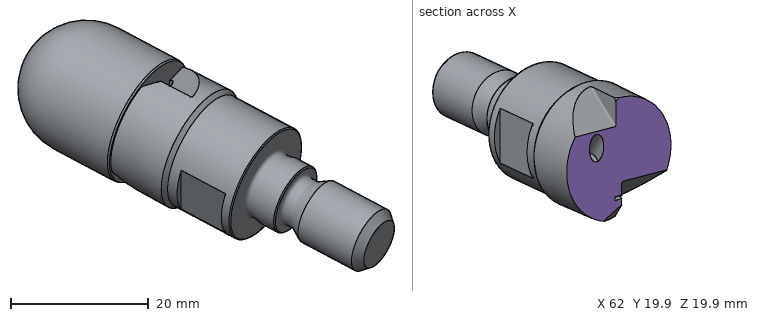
import cadquery as cq
import math

overall_length = 62.0
head_diameter = 19.9
nose_radius = head_diameter / 2
nose_flat_radius = 0.45
head_taper_start = 19.9
head_taper_end = 20.7
head_length = 21.0
head_taper_radius = 9.9
head_end_radius = 9.8

body_front_radius = 9.5
body_rear_radius = 9.6
body_taper_end = 30.1
step_end = 30.8

collar_radius = 9.05
collar_end = 41.9
collar_chamfer = 0.2

relief_radius = 5.15
relief_fillet = 0.55
relief_end = 43.2
relief_cone_angle = 15.0
pilot_radius = 5.4
pilot_end = 47.25
pilot_chamfer = 0.2

neck_radius = 3.85
neck_fillet = 0.55
neck_end = 48.9
neck_cone_angle = 30.0
cone_fillet = 0.6
shank_radius = 5.0
shank_chamfer_length = 1.35
shank_end_radius = 3.85

flat_start = 32.5
flat_end = 40.35
flat_distance = 8.0

wall_offset = 0.55
pocket_fillet = 0.25
relief_slope = 1.36
upper_floor_slope = 0.74
upper_floor_end = 28.4
upper_relief_end = 22.8
upper_relief_skew = 0.66
upper_relief_width = 2.8
lower_floor_slope = 0.81
lower_floor_end = 29.7
lower_relief_end = 24.1
lower_relief_skew = 0.4
lower_relief_width = 3.85

floor_hole_x = 21.15
floor_hole_y = 4.0
floor_hole_radius = 1.25
floor_hole_depth = 4.95

wall_hole_x = 22.4
wall_hole_z = 6.0
wall_hole_radius = 0.25
wall_hole_depth = 1.25


def make_head():
    """Ball nose with a tiny flat tip, running into a cylinder that narrows at its back edge."""
    nose_center = math.sqrt(nose_radius**2 - nose_flat_radius**2)
    arc_offset = nose_radius * math.sqrt(0.5)
    return (
        cq.Workplane("XZ")
        .moveTo(0, 0)
        .lineTo(0, nose_flat_radius)
        .threePointArc((nose_center - arc_offset, arc_offset), (nose_center, nose_radius))
        .lineTo(head_taper_start, nose_radius)
        .lineTo(head_taper_end, head_taper_radius)
        .lineTo(head_length, head_end_radius)
        .lineTo(head_length, 0)
        .close()
        .revolve(360, (0, 0, 0), (1, 0, 0))
    )


def add_cone(outline, start_x, start_radius, end_radius, angle):
    """Continue an outline with a small fillet and a cone that widens to end_radius."""
    tilt = math.radians(angle)
    fillet_x = start_x + cone_fillet * math.sin(tilt)
    fillet_top = start_radius + cone_fillet * (1 - math.cos(tilt))
    return (
        outline.lineTo(start_x, start_radius)
        .tangentArcPoint((fillet_x, fillet_top), relative=False)
        .lineTo(fillet_x + (end_radius - fillet_top) / math.tan(tilt), end_radius)
    )


def make_body():
    """Everything behind the head: tapered body, collar, pilot, neck and shank."""
    bend = 1 - math.sqrt(0.5)
    neck_start = pilot_end + neck_fillet
    outline = (
        cq.Workplane("XZ")
        .moveTo(head_length, 0)
        .lineTo(head_length, body_front_radius)
        .lineTo(body_taper_end, body_rear_radius)
        .lineTo(step_end, collar_radius)
        .lineTo(collar_end - collar_chamfer, collar_radius)
        .lineTo(collar_end, collar_radius - collar_chamfer)
        .lineTo(collar_end, relief_radius + relief_fillet)
        .threePointArc(
            (collar_end + relief_fillet * bend, relief_radius + relief_fillet * bend),
            (collar_end + relief_fillet, relief_radius),
        )
    )
    outline = add_cone(outline, relief_end, relief_radius, pilot_radius, relief_cone_angle)
    outline = (
        outline.lineTo(pilot_end - pilot_chamfer, pilot_radius)
        .lineTo(pilot_end, pilot_radius - pilot_chamfer)
        .lineTo(pilot_end, neck_radius + neck_fillet)
        .threePointArc(
            (pilot_end + neck_fillet * bend, neck_radius + neck_fillet * bend),
            (neck_start, neck_radius),
        )
    )
    outline = add_cone(outline, neck_end, neck_radius, shank_radius, neck_cone_angle)
    return (
        outline.lineTo(overall_length - shank_chamfer_length, shank_radius)
        .lineTo(overall_length, shank_end_radius)
        .lineTo(overall_length, 0)
        .close()
        .revolve(360, (0, 0, 0), (1, 0, 0))
    )


def make_flat_cutter(side):
    """Block beyond one wrench flat; side is +1 or -1 along Y."""
    depth = 2 * (collar_radius - flat_distance)
    return cq.Workplane("XY").box(flat_end - flat_start, depth, 2 * collar_radius).translate(
        ((flat_start + flat_end) / 2, side * (flat_distance + depth / 2), 0)
    )


def make_ramp(y, end_x, slope):
    """Triangle at one Y, under a line that climbs with the slope to the body surface at end_x."""
    front_x = head_length - nose_radius
    top_x = end_x + body_rear_radius / slope
    front_z = body_rear_radius - slope * (end_x - front_x)
    top_z = 2 * body_rear_radius
    return cq.Wire.makePolygon(
        [cq.Vector(front_x, y, front_z), cq.Vector(top_x, y, top_z), cq.Vector(front_x, y, top_z)],
        close=True,
    )


def make_pocket(floor_end, floor_slope, relief_end_x, relief_skew, relief_width):
    """Pocket on the +Z side: a sloped floor beside a wall, and a skewed relief beyond the wall."""
    floor_cut = cq.Workplane(
        cq.Solid.extrudeLinear(
            make_ramp(wall_offset, floor_end, floor_slope), [], cq.Vector(0, nose_radius, 0)
        )
    )
    inner_edge = cq.selectors.NearestToPointSelector((floor_end, wall_offset, body_rear_radius))
    floor_cut = floor_cut.faces("<Y").edges(inner_edge).fillet(pocket_fillet)
    far_y = wall_offset - relief_width
    far_end_x = relief_end_x - relief_skew * relief_width
    relief_cut = cq.Solid.makeLoft(
        [
            make_ramp(wall_offset, relief_end_x, relief_slope),
            make_ramp(far_y, far_end_x, relief_slope),
        ],
        True,
    )
    return floor_cut.union(cq.Workplane(relief_cut))


def make_floor_hole():
    """Blind hole square to the floor of the upper pocket."""
    floor_z = body_rear_radius - upper_floor_slope * (upper_floor_end - floor_hole_x)
    inward = cq.Vector(upper_floor_slope, 0, -1)
    start = cq.Vector(floor_hole_x, floor_hole_y, floor_z)
    return cq.Solid.makeCylinder(floor_hole_radius, floor_hole_depth, start, inward)


def make_wall_hole():
    """Small blind hole in the wall of the lower pocket."""
    start = cq.Vector(wall_hole_x, -wall_offset, -wall_hole_z)
    return cq.Solid.makeCylinder(wall_hole_radius, wall_hole_depth, start, cq.Vector(0, 1, 0))


upper_pocket = make_pocket(
    upper_floor_end, upper_floor_slope, upper_relief_end, upper_relief_skew, upper_relief_width
)
lower_pocket = make_pocket(
    lower_floor_end, lower_floor_slope, lower_relief_end, lower_relief_skew, lower_relief_width
).rotate((0, 0, 0), (1, 0, 0), 180)

body = make_body()
for side in (1, -1):
    body = body.cut(make_flat_cutter(side))
body = body.cut(upper_pocket).cut(lower_pocket)
body = body.cut(cq.Workplane(make_floor_hole())).cut(cq.Workplane(make_wall_hole()))

result = make_head().union(body)